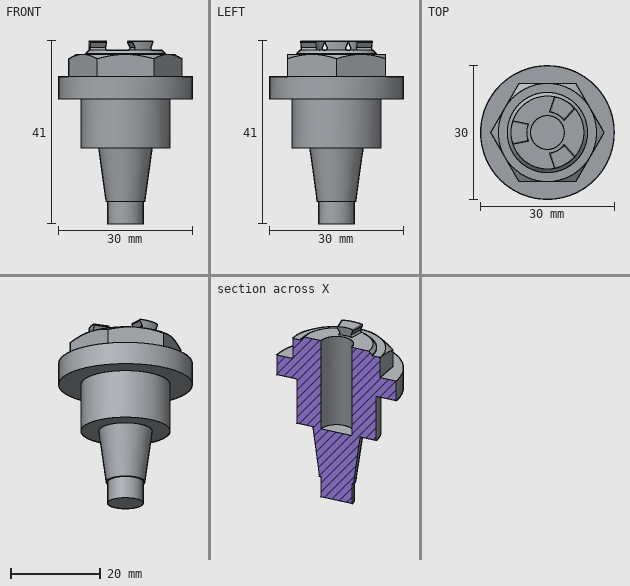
import cadquery as cq
import math

tip_height = 5.0
cone_height = 12.0
barrel_height = 11.0
flange_height = 5.0
nut_height = 5.0
collar_height = 1.0
tab_height = 2.0

tip_diameter = 8.0
cone_small_diameter = 8.7
cone_large_diameter = 12.0
barrel_diameter = 20.0
flange_diameter = 30.0
nut_across_flats = 22.0
collar_diameter = 18.0
bore_diameter = 7.6

nut_chamfer_angle = 30
collar_chamfer = 0.8

tab_count = 3
first_tab_angle = 60
tab_inner_radius = 4.65
tab_outer_radius = collar_diameter / 2 - collar_chamfer
tab_side_angle = 11.5
tab_side_offset = 1.02
tab_undercut = 0.57
tab_waist_height = 0.55
tab_lip_height = 0.33
tab_lip_radius = 0.2
tab_foot_flare = 0.3
tab_foot_radius = 0.55

cone_bottom = tip_height
barrel_bottom = cone_bottom + cone_height
flange_bottom = barrel_bottom + barrel_height
nut_bottom = flange_bottom + flange_height
collar_bottom = nut_bottom + nut_height
collar_top = collar_bottom + collar_height
bore_bottom = barrel_bottom


def cylinder(diameter, bottom, height):
    return cq.Workplane("XY").workplane(offset=bottom).circle(diameter / 2).extrude(height)


def make_stem():
    """Tip, tapered cone, barrel and flange, turned about Z."""
    profile = (
        cq.Workplane("XZ")
        .lineTo(tip_diameter / 2, 0)
        .lineTo(tip_diameter / 2, cone_bottom)
        .lineTo(cone_small_diameter / 2, cone_bottom)
        .lineTo(cone_large_diameter / 2, barrel_bottom)
        .lineTo(barrel_diameter / 2, barrel_bottom)
        .lineTo(barrel_diameter / 2, flange_bottom)
        .lineTo(flange_diameter / 2, flange_bottom)
        .lineTo(flange_diameter / 2, nut_bottom)
        .lineTo(0, nut_bottom)
        .close()
    )
    return profile.revolve(360, (0, 0, 0), (0, 1, 0))


def make_nut():
    """Hexagon with corners on X, its upper corners cut by a cone."""
    corner_radius = nut_across_flats / 2 / math.cos(math.radians(30))
    flat_radius = nut_across_flats / 2
    chamfer_drop = (corner_radius - flat_radius) * math.tan(math.radians(nut_chamfer_angle))
    hexagon = (
        cq.Workplane("XY")
        .workplane(offset=nut_bottom)
        .polygon(6, 2 * corner_radius)
        .extrude(nut_height)
    )
    envelope = (
        cq.Workplane("XZ")
        .moveTo(0, nut_bottom)
        .lineTo(corner_radius, nut_bottom)
        .lineTo(corner_radius, collar_bottom - chamfer_drop)
        .lineTo(flat_radius, collar_bottom)
        .lineTo(0, collar_bottom)
        .close()
        .revolve(360, (0, 0, 0), (0, 1, 0))
    )
    return hexagon.intersect(envelope)


def make_collar():
    collar = cylinder(collar_diameter, collar_bottom, collar_height)
    return collar.faces(">Z").edges().chamfer(collar_chamfer)


def make_tab_side():
    """Long block whose +Y face has the tab's rounded lip, undercut and hollow flared foot."""
    length = 2 * tab_outer_radius
    waist = tab_side_offset - tab_undercut
    lip_bottom = tab_height - tab_lip_height
    return (
        cq.Workplane("YZ", origin=(0, 0, collar_top))
        .moveTo(-length, 0)
        .lineTo(waist + tab_foot_flare, 0)
        .radiusArc((waist, tab_waist_height), tab_foot_radius)
        .lineTo(tab_side_offset, lip_bottom)
        .lineTo(tab_side_offset, tab_height - tab_lip_radius)
        .radiusArc((tab_side_offset - tab_lip_radius, tab_height), -tab_lip_radius)
        .lineTo(-length, tab_height)
        .close()
        .extrude(length)
        .rotate((0, 0, 0), (0, 0, 1), tab_side_angle)
    )


def make_tab():
    """Ring segment along +X, bounded by two mirrored side profiles."""
    ring = (
        cq.Workplane("XY")
        .workplane(offset=collar_top)
        .circle(tab_outer_radius)
        .circle(tab_inner_radius)
        .extrude(tab_height)
    )
    side = make_tab_side()
    return ring.intersect(side).intersect(side.mirror("XZ"))


result = make_stem().union(make_nut()).union(make_collar())

tab = make_tab()
for index in range(tab_count):
    tab_angle = first_tab_angle + index * 360 / tab_count
    result = result.union(tab.rotate((0, 0, 0), (0, 0, 1), tab_angle))

result = result.cut(cylinder(bore_diameter, bore_bottom, collar_top - bore_bottom))